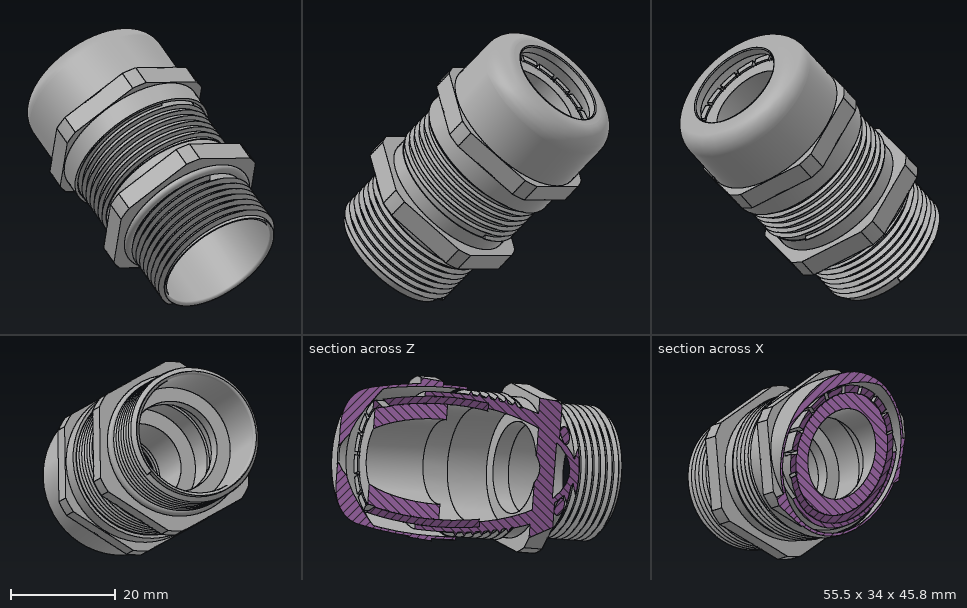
import cadquery as cq
import math


axis_drop = 27.8
axis_swing = 4.4

hex_across_flats = 30.0
hex_corner_diameter = 33.1
hex_thickness = 3.95
hex_turn = 13.5
cap_hex_start = 13.0
hex_spacing = 20.25
body_hex_start = cap_hex_start + hex_spacing
body_hex_end = body_hex_start + hex_thickness

cap_diameter = 29.65
cap_length = 21.0
dome_radius = 4.1
opening_diameter = 18.25
opening_rim_diameter = 18.7
lip_depth = 1.8
cap_bore_diameter = 28.4

body_top = 13.9
upper_root_diameter = 26.7
upper_crest_diameter = 28.2
upper_pitch = 1.5
upper_first_crest = 20.5
upper_turns = 6.5
neck_start = 30.45
neck_diameter = 27.05
lower_root_diameter = 24.2
lower_crest_diameter = 26.1
lower_pitch = 1.42
lower_first_crest = 39.05
lower_turns = 7.4
body_length = 50.2
seat_depth = 24.7
body_bore_diameter = 23.0
web_depth = 33.4
web_thickness = 3.35
web_end = web_depth + web_thickness
web_hole_diameter = 17.65
end_rounding = 0.55

claw_diameter = 24.8
claw_bore_diameter = 22.05
claw_top = 5.3
slot_count = 18
slot_width = 0.65
slot_length = 6.65
slot_turn = 4.0

seal_bore_diameter = 16.2
seal_top = 5.6
seal_bottom = 17.85

ring_section_radius = 0.85


def cylinder(diameter, start, end):
    """Solid round bar along Z between two depths."""
    return cq.Workplane("XY").workplane(offset=start).circle(diameter / 2).extrude(end - start)


def cone(start_diameter, end_diameter, start, end):
    """Solid frustum along Z between two depths."""
    outline = [(0, start), (start_diameter / 2, start), (end_diameter / 2, end), (0, end)]
    return cq.Workplane("XZ").polyline(outline).close().revolve(360, (0, 0), (0, 1))


def hexagon(start):
    """Hexagon whose corners are turned down to a cylinder."""
    end = start + hex_thickness
    sharp_diameter = hex_across_flats / math.cos(math.radians(30))
    prism = cq.Workplane("XY").workplane(offset=start).polygon(6, sharp_diameter).extrude(hex_thickness)
    prism = prism.rotate((0, 0, 0), (0, 0, 1), hex_turn)
    return prism.intersect(cylinder(hex_corner_diameter, start, end))


def thread_ridge(root_diameter, crest_diameter, pitch, first_crest, turns):
    """Helical 60-degree ridge that sinks slightly into its core."""
    sink = 0.05
    inner = root_diameter / 2 - sink
    outer = crest_diameter / 2
    half_width = (outer - inner) * math.tan(math.radians(30))
    profile = [(inner, first_crest - half_width), (outer, first_crest), (inner, first_crest + half_width)]
    path = cq.Wire.makeHelix(pitch, pitch * turns, root_diameter / 2, center=cq.Vector(0, 0, first_crest))
    return cq.Workplane("XZ").polyline(profile).close().sweep(cq.Workplane(path), isFrenet=True)


def make_cap():
    shell = cylinder(cap_diameter, 0, cap_length).faces("<Z").edges().fillet(dome_radius)
    shell = shell.union(hexagon(cap_hex_start))
    rim_depth = (opening_rim_diameter - opening_diameter) / 2
    cone_depth = lip_depth + (cap_bore_diameter - opening_diameter) / 2
    shell = shell.cut(cylinder(opening_diameter, 0, lip_depth))
    shell = shell.cut(cone(opening_rim_diameter, opening_diameter, 0, rim_depth))
    shell = shell.cut(cone(opening_diameter, cap_bore_diameter, lip_depth, cone_depth))
    return shell.cut(cylinder(cap_bore_diameter, cone_depth, cap_length))


def make_oring():
    groove = lower_root_diameter / 2 + ring_section_radius
    section = cq.Workplane("XZ").center(groove, body_hex_end + ring_section_radius).circle(ring_section_radius)
    return section.revolve(360, (-groove, 0), (-groove, 1))


def make_body():
    body = cylinder(upper_root_diameter, body_top, neck_start)
    body = body.union(cylinder(neck_diameter, neck_start, body_hex_start))
    body = body.union(hexagon(body_hex_start))
    body = body.union(cylinder(lower_root_diameter, body_hex_end, body_length))
    body = body.cut(cylinder(claw_diameter, body_top, seat_depth))
    body = body.cut(cylinder(body_bore_diameter, seat_depth, web_depth))
    body = body.cut(cylinder(web_hole_diameter, web_depth, web_end))
    body = body.cut(cylinder(body_bore_diameter, web_end, body_length))
    body = body.faces(">Z").edges(cq.selectors.RadiusNthSelector(0)).fillet(end_rounding)

    upper_ridge = thread_ridge(upper_root_diameter, upper_crest_diameter, upper_pitch,
                               upper_first_crest, upper_turns)
    lower_ridge = thread_ridge(lower_root_diameter, lower_crest_diameter, lower_pitch,
                               lower_first_crest, lower_turns)
    upper_ridge = upper_ridge.intersect(cylinder(cap_bore_diameter, body_top, neck_start))
    return body.union(upper_ridge).union(lower_ridge)


def make_claw():
    claw = cylinder(claw_diameter, claw_top, seat_depth).cut(cylinder(claw_bore_diameter, claw_top, seat_depth))
    for index in range(slot_count):
        slot = (cq.Workplane("XY").workplane(offset=claw_top)
                .center(claw_diameter / 2, 0).rect(claw_diameter / 2, slot_width).extrude(slot_length))
        claw = claw.cut(slot.rotate((0, 0, 0), (0, 0, 1), slot_turn + index * 360 / slot_count))
    return claw


def make_seal():
    return cylinder(claw_bore_diameter, seal_top, seal_bottom).cut(
        cylinder(seal_bore_diameter, seal_top, seal_bottom))


axis = cq.Vector(1, -math.tan(math.radians(axis_swing)), -math.tan(math.radians(axis_drop)))
upward = axis.cross(cq.Vector(0, 1, 0))
place = cq.Location(cq.Plane(origin=(0, 0, 0), xDir=upward, normal=axis))

cap = make_cap()
oring = make_oring()
body = make_body()
claw = make_claw()
seal = make_seal()

result = cq.Compound.makeCompound([part.val().moved(place) for part in (cap, body, claw, seal, oring)])